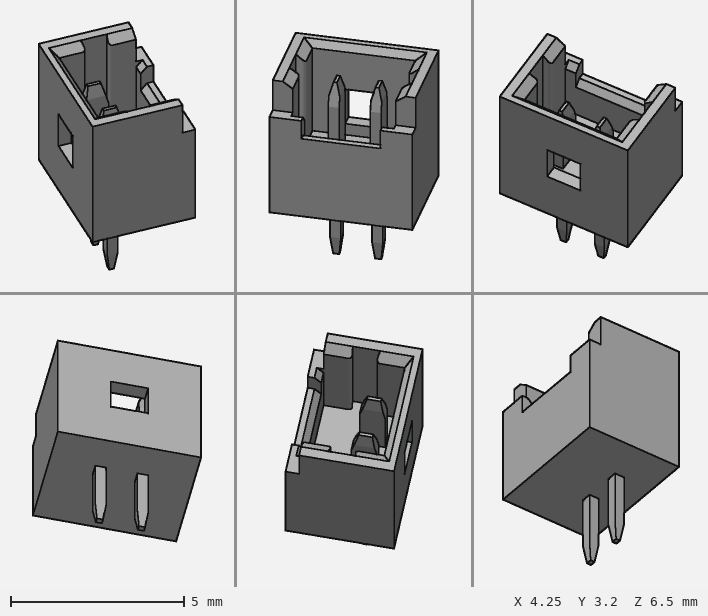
import cadquery as cq

WIDTH = 4.25
DEPTH = 3.2
HEIGHT = 4.2
TOTAL_HEIGHT = 6.5
FLOOR = 1.23

SIDE_WALL = 0.3
RIB_FACE = 0.6
END_WALL = 0.4
LEAD_IN = 0.2
LEAD_IN_DROP = 0.2
RIB_BEVEL_DROP = 0.21
RECESS_FRONT = 1.195
RECESS_BACK = 2.0
RECESS_FLARE = 0.05
RIB_ROUND = 0.1

REAR_STEP = 1.0
NOTCH_WIDTH = 2.35
NOTCH_DROP = 1.6

WINDOW_WIDTH = 1.105
WINDOW_BOTTOM = 1.6
WINDOW_TOP = 2.75

PITCH = 1.25
PIN_WIDTH = 0.325
PIN_Y = 1.15
BLADE_DEPTH = 0.755
BLADE_TOP = 3.5
BLADE_TIP_WIDTH = 0.105
BLADE_FRONT_SLOPE = 0.15
BLADE_REAR_SLOPE = 0.2
BLADE_SIDE_TAPER = 0.4
BLADE_END_TAPER = 0.715
TAIL_TIP = (0.18, 0.14)
TAIL_TAPER = 0.6

rib_x = WIDTH / 2 - RIB_FACE
recess_x = WIDTH / 2 - SIDE_WALL
rear_inner_y = DEPTH - END_WALL
rear_top = HEIGHT - REAR_STEP
notch_floor = HEIGHT - NOTCH_DROP


def box(x0, x1, y0, y1, z0, z1):
    return cq.Workplane("XY").box(x1 - x0, y1 - y0, z1 - z0, centered=False).translate((x0, y0, z0))


def across(width, points):
    """Prism centred on X from a profile of (Y, Z) points."""
    return cq.Workplane("YZ").polyline(points).close().extrude(width / 2, both=True)


def rear_bevel(width, top):
    """Cutter for the bevel on the inner top edge of the rear wall."""
    return across(width, [
        (rear_inner_y, top - LEAD_IN_DROP),
        (rear_inner_y + LEAD_IN, top),
        (rear_inner_y, top),
    ])


def cavity():
    return box(-rib_x, rib_x, END_WALL, rear_inner_y, FLOOR, HEIGHT)


def side_recess():
    """Recess between the ribs on the +X side, narrower at its mouth."""
    profile = [
        (recess_x, RECESS_FRONT),
        (rib_x, RECESS_FRONT + RECESS_FLARE),
        (rib_x, RECESS_BACK - RECESS_FLARE),
        (recess_x, RECESS_BACK),
    ]
    return cq.Workplane("XY").workplane(offset=FLOOR).polyline(profile).close().extrude(HEIGHT - FLOOR)


def rib_bevel():
    """Cutter for the bevel along the top of the +X ribs, mitred at the front."""
    profile = [(rib_x, HEIGHT - RIB_BEVEL_DROP), (recess_x, HEIGHT), (rib_x, HEIGHT)]
    bevel = cq.Workplane("XZ").polyline(profile).close().extrude(-DEPTH)
    limit = (
        cq.Workplane("XY")
        .polyline([
            (recess_x, END_WALL - LEAD_IN),
            (rib_x, END_WALL),
            (rib_x, DEPTH),
            (recess_x, DEPTH),
        ])
        .close().extrude(HEIGHT)
    )
    return bevel.intersect(limit)


def front_bevel():
    """Cutter for the bevel along the top of the front wall, mitred at both ends."""
    bevel = across(2 * recess_x, [
        (END_WALL, HEIGHT - LEAD_IN_DROP),
        (END_WALL - LEAD_IN, HEIGHT),
        (END_WALL, HEIGHT),
    ])
    limit = (
        cq.Workplane("XY")
        .polyline([
            (-recess_x, END_WALL - LEAD_IN),
            (recess_x, END_WALL - LEAD_IN),
            (rib_x, END_WALL),
            (-rib_x, END_WALL),
        ])
        .close().extrude(HEIGHT)
    )
    return bevel.intersect(limit)


def housing():
    """Open box with a notched rear wall and a window in the front wall."""
    body = box(-WIDTH / 2, WIDTH / 2, 0, DEPTH, 0, HEIGHT).cut(cavity())
    recess = side_recess()
    body = body.cut(recess).cut(recess.mirror("YZ"))
    for y in (RECESS_FRONT + RECESS_FLARE, RECESS_BACK - RECESS_FLARE):
        for x in (-rib_x, rib_x):
            rib_corner = cq.selectors.NearestToPointSelector((x, y, (FLOOR + HEIGHT) / 2))
            body = body.edges(rib_corner).fillet(RIB_ROUND)
    body = body.cut(box(-WIDTH / 2, WIDTH / 2, rear_inner_y, DEPTH, rear_top, HEIGHT))
    body = body.cut(rear_bevel(2 * rib_x, rear_top))
    half_notch = NOTCH_WIDTH / 2
    body = body.cut(box(-half_notch, half_notch, rear_inner_y, DEPTH, notch_floor, HEIGHT))
    body = body.cut(rear_bevel(NOTCH_WIDTH, notch_floor))
    side_bevel = rib_bevel()
    body = body.cut(front_bevel()).cut(side_bevel).cut(side_bevel.mirror("YZ"))
    half_window = WINDOW_WIDTH / 2
    return body.cut(box(-half_window, half_window, 0, END_WALL, WINDOW_BOTTOM, WINDOW_TOP))


def blade():
    """Upper part of a pin: its sides taper over a shorter height than its front and rear."""
    bottom = FLOOR / 2
    half_width = PIN_WIDTH / 2
    half_depth = BLADE_DEPTH / 2
    half_tip = BLADE_TIP_WIDTH / 2
    side_shoulder = BLADE_TOP - BLADE_SIDE_TAPER
    end_shoulder = BLADE_TOP - BLADE_END_TAPER
    seen_along_y = (
        cq.Workplane("XZ")
        .polyline([
            (-half_width, bottom),
            (half_width, bottom),
            (half_width, side_shoulder),
            (half_tip, BLADE_TOP),
            (-half_tip, BLADE_TOP),
            (-half_width, side_shoulder),
        ])
        .close().extrude(half_depth, both=True)
    )
    seen_along_x = across(PIN_WIDTH, [
        (-half_depth, bottom),
        (half_depth, bottom),
        (half_depth, end_shoulder),
        (half_depth - BLADE_REAR_SLOPE, BLADE_TOP),
        (BLADE_FRONT_SLOPE - half_depth, BLADE_TOP),
        (-half_depth, end_shoulder),
    ])
    return seen_along_y.intersect(seen_along_x)


def tail():
    """Square lower part of a pin, tapering to its tip."""
    length = TOTAL_HEIGHT - HEIGHT
    shoulder = TAIL_TAPER - length
    half_width = PIN_WIDTH / 2
    shank = box(-half_width, half_width, -half_width, half_width, shoulder, FLOOR / 2)
    tip = (
        cq.Workplane("XY").workplane(offset=shoulder).rect(PIN_WIDTH, PIN_WIDTH)
        .workplane(offset=-TAIL_TAPER).rect(*TAIL_TIP).loft(ruled=True)
    )
    return shank.union(tip)


pin = blade().union(tail())
result = housing()
for pin_x in (-PITCH / 2, PITCH / 2):
    result = result.union(pin.translate((pin_x, PIN_Y, 0)))